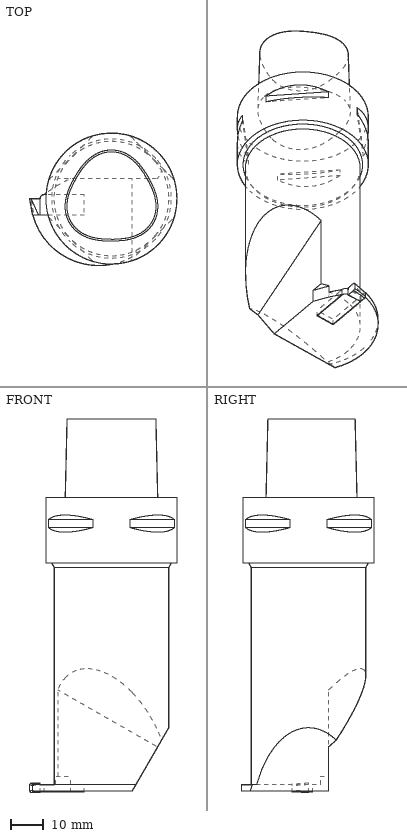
import cadquery as cq
import math

TOTAL_HEIGHT = 114.0
FLANGE_TOP = 90.1
FLANGE_BOTTOM = 70.0
NECK_BOTTOM = 68.6
BLADE_TOP = 2.5
HOLDER_BOTTOM = 0.5

FLANGE_RADIUS = 40.0 / 2
SHANK_RADIUS = 35.0 / 2
NECK_RADIUS = 18.2

LOBE_HEIGHT = 0.9
COUPLING_BASE_RADIUS = 13.9
COUPLING_TOP_RADIUS = 13.3
LOBE_COUNT = 3
POINTS_PER_LOBE = 8

SLOT_COUNT = 4
SLOT_START_ANGLE = 45.0
SLOT_Z = 82.1
SLOT_FLOOR_RADIUS = 17.5
SLOT_FLOOR_HEIGHT = 2.4
SLOT_MOUTH_HEIGHT = 5.2

END_CUT_ANGLE = 30.0
END_CUT_TOP = 19.8

FLUTE_Y = 6.2
RUNOUT_Z = 22.0
RUNOUT_SLOPE_X = -0.57
RUNOUT_SLOPE_Y = 1.2

RELIEF_TOP = 5.0
RELIEF_Y = 3.6
RELIEF_X = -12.5
RELIEF_EDGE_X = -math.sqrt(SHANK_RADIUS**2 - RELIEF_Y**2)

BLADE_RADIUS = 20.9
OVERALL_DEPTH = 40.5
BLADE_REACH = OVERALL_DEPTH - FLANGE_RADIUS
BLADE_X = -3.9
BLADE_Y = BLADE_RADIUS - BLADE_REACH

BAR_LEFT = -21.8
BAR_RIGHT = -8.4
BAR_FRONT = -5.0
BAR_BACK = 1.3
BAR_CORNER = 1.3
BAR_BOTTOM = 0.2
OVERALL_WIDTH = 45.0
TIP_LEFT = FLANGE_RADIUS - OVERALL_WIDTH
TIP_TOP = 3.0
TIP_LENGTH = -BAR_FRONT
TIP_BACK_TAPER = 0.9
TIP_CORNER = 0.5
TIP_HEEL_DROP = 0.3

CUT_SIZE = 68.4


def box_between(x0, x1, y0, y1, z0, z1):
    return cq.Workplane("XY").box(x1 - x0, y1 - y0, z1 - z0, centered=False).translate((x0, y0, z0))


def lobed_wire(mean_radius, z):
    """Closed three-lobed curve with one lobe toward +Y."""
    count = LOBE_COUNT * POINTS_PER_LOBE
    points = []
    for i in range(count):
        angle = 2 * math.pi * i / count
        radius = mean_radius + LOBE_HEIGHT * math.cos(LOBE_COUNT * angle)
        points.append(cq.Vector(-radius * math.sin(angle), radius * math.cos(angle), z))
    return cq.Wire.assembleEdges([cq.Edge.makeSpline(points, periodic=True)])


def make_coupling():
    base = lobed_wire(COUPLING_BASE_RADIUS, FLANGE_TOP)
    top = lobed_wire(COUPLING_TOP_RADIUS, TOTAL_HEIGHT)
    return cq.Workplane(cq.Solid.makeLoft([base, top], True))


def make_turned_body():
    profile = [
        (0, HOLDER_BOTTOM),
        (SHANK_RADIUS, HOLDER_BOTTOM),
        (SHANK_RADIUS, NECK_BOTTOM),
        (NECK_RADIUS, FLANGE_BOTTOM),
        (FLANGE_RADIUS, FLANGE_BOTTOM),
        (FLANGE_RADIUS, FLANGE_TOP),
        (0, FLANGE_TOP),
    ]
    return cq.Workplane("XZ").polyline(profile).close().revolve(360, (0, 0), (0, 1))


def make_gripper_slots():
    depth = FLANGE_RADIUS - SLOT_FLOOR_RADIUS
    floor = SLOT_FLOOR_HEIGHT / 2
    mouth = SLOT_MOUTH_HEIGHT / 2
    section = [(0, -floor), (depth, -mouth), (depth, mouth), (0, floor)]
    slot = (
        cq.Workplane("XZ").polyline(section).close().extrude(FLANGE_RADIUS, both=True)
        .translate((SLOT_FLOOR_RADIUS, 0, SLOT_Z))
    )
    slots = []
    for i in range(SLOT_COUNT):
        angle = SLOT_START_ANGLE + i * 360 / SLOT_COUNT
        slots.append(slot.rotate((0, 0, 0), (0, 0, 1), angle))
    return slots


def make_blade():
    """Crescent left outside the shank, in front of the insert, plus the slope behind it."""
    thickness = BLADE_TOP - HOLDER_BOTTOM
    disc = (
        cq.Workplane("XY", origin=(BLADE_X, BLADE_Y, HOLDER_BOTTOM))
        .circle(BLADE_RADIUS).extrude(thickness)
    )
    front = box_between(-CUT_SIZE, CUT_SIZE, -CUT_SIZE, BAR_FRONT, HOLDER_BOTTOM, BLADE_TOP)
    slope_outline = [
        (BAR_LEFT + BAR_CORNER, BAR_BACK),
        (0, BAR_BACK),
        (0, RELIEF_Y),
        (RELIEF_EDGE_X, RELIEF_Y),
    ]
    slope = (
        cq.Workplane("XY", origin=(0, 0, HOLDER_BOTTOM))
        .polyline(slope_outline).close().extrude(thickness)
    )
    return disc.intersect(front).union(slope)


def make_end_cut():
    """Wedge below a plane that falls away toward the axis."""
    run = END_CUT_TOP * math.tan(math.radians(END_CUT_ANGLE))
    outline = [(SHANK_RADIUS - run, 0), (SHANK_RADIUS, END_CUT_TOP), (CUT_SIZE, END_CUT_TOP), (CUT_SIZE, 0)]
    return cq.Workplane("XZ").polyline(outline).close().extrude(CUT_SIZE, both=True)


def make_flute():
    """Space behind the upright wall and below the sloped run-out plane."""
    plane = cq.Plane(
        origin=(0, FLUTE_Y, RUNOUT_Z),
        xDir=(1, 0, RUNOUT_SLOPE_X),
        normal=(RUNOUT_SLOPE_X, RUNOUT_SLOPE_Y, -1),
    )
    below_runout = cq.Workplane(plane).rect(2 * CUT_SIZE, 2 * CUT_SIZE).extrude(CUT_SIZE)
    behind_wall = box_between(-CUT_SIZE, CUT_SIZE, FLUTE_Y, CUT_SIZE, -CUT_SIZE, FLANGE_BOTTOM)
    return below_runout.intersect(behind_wall)


def make_relief():
    outline = [
        (RELIEF_EDGE_X, RELIEF_Y),
        (RELIEF_X, FLUTE_Y),
        (-FLANGE_RADIUS, FLUTE_Y),
        (-FLANGE_RADIUS, RELIEF_Y),
    ]
    return cq.Workplane("XY").polyline(outline).close().extrude(RELIEF_TOP)


def make_insert_bar():
    bar = box_between(BAR_LEFT, BAR_RIGHT, BAR_FRONT, BAR_BACK, BAR_BOTTOM, BLADE_TOP)
    return bar.edges("|Z and <X and >Y").fillet(BAR_CORNER)


def tip_section(y, left, bottom, top, relief_start):
    """Upright section of the tip; the top falls off to the left of relief_start."""
    points = [
        (BAR_LEFT, bottom),
        (left + TIP_CORNER, bottom),
        (left, bottom + TIP_CORNER),
        (left, top - TIP_CORNER),
        (relief_start, top),
        (BAR_LEFT, top),
    ]
    return cq.Wire.makePolygon([cq.Vector(x, y, z) for x, z in points], close=True)


def make_tip():
    heel_left = TIP_LEFT + TIP_BACK_TAPER
    edge = tip_section(0, TIP_LEFT, 0, TIP_TOP, TIP_LEFT + TIP_CORNER)
    heel = tip_section(-TIP_LENGTH, heel_left, TIP_HEEL_DROP, TIP_TOP - TIP_HEEL_DROP, BAR_LEFT - TIP_CORNER)
    return cq.Workplane(cq.Solid.makeLoft([edge, heel], True))


insert_bar = make_insert_bar()
cutting_tip = make_tip()

holder = make_turned_body().union(make_coupling()).union(make_blade())
for slot in make_gripper_slots():
    holder = holder.cut(slot)
holder = holder.cut(make_end_cut()).cut(make_flute()).cut(make_relief())
holder = holder.cut(insert_bar)

result = cq.Compound.makeCompound([holder.solids().val(), insert_bar.solids().val(), cutting_tip.val()])